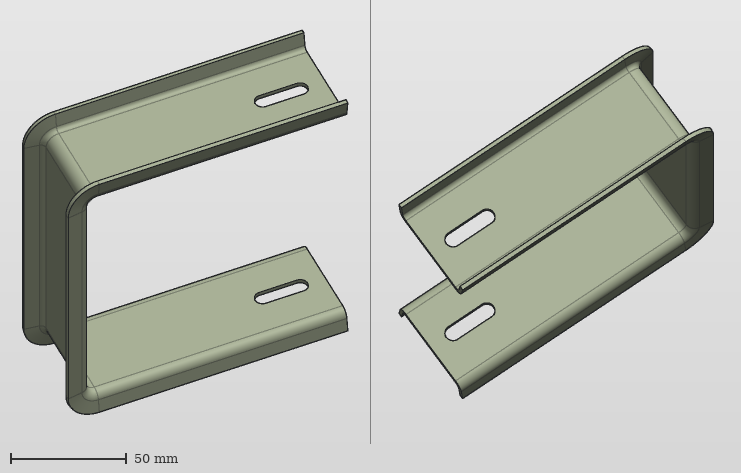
import cadquery as cq
import math

width = 47.9
depth = 133.0
height = 143.0

sheet = 2.0
section_depth = 11.0
flange_lean = math.radians(8)
inner_bend = 2.5
outer_bend = inner_bend + sheet

corner_radius = 15.0
web_corner_radius = corner_radius - section_depth

slot_width = 7.0
slot_length = 24.9
slot_end_margin = 8.3

flange_length = (section_depth - outer_bend + inner_bend * math.sin(flange_lean)) / math.cos(flange_lean)
bend_x = width / 2 - outer_bend * math.cos(flange_lean) - flange_length * math.sin(flange_lean)

open_end_y = depth / 2
web_z = height / 2 - section_depth


def bend_point(radius, angle):
    """Point on the flange bend; angle is measured downward from +X."""
    return (bend_x + radius * math.cos(angle), outer_bend - radius * math.sin(angle))


def along_flange(point):
    """Move a point from the bend to the flange tip."""
    x, z = point
    return (x + flange_length * math.sin(flange_lean), z + flange_length * math.cos(flange_lean))


def channel_section():
    """Closed channel outline at the open end of the upper arm."""
    bend_middle = (flange_lean + math.pi / 2) / 2
    outer_start = bend_point(outer_bend, flange_lean)
    inner_start = bend_point(inner_bend, flange_lean)

    def mirrored(point):
        return (-point[0], point[1])

    return (
        cq.Workplane("XZ", origin=(0, open_end_y, web_z))
        .moveTo(-bend_x, 0)
        .lineTo(bend_x, 0)
        .threePointArc(bend_point(outer_bend, bend_middle), outer_start)
        .lineTo(*along_flange(outer_start))
        .lineTo(*along_flange(inner_start))
        .lineTo(*inner_start)
        .threePointArc(bend_point(inner_bend, bend_middle), (bend_x, sheet))
        .lineTo(-bend_x, sheet)
        .threePointArc(mirrored(bend_point(inner_bend, bend_middle)), mirrored(inner_start))
        .lineTo(*mirrored(along_flange(inner_start)))
        .lineTo(*mirrored(along_flange(outer_start)))
        .lineTo(*mirrored(outer_start))
        .threePointArc(mirrored(bend_point(outer_bend, bend_middle)), (-bend_x, 0))
        .close()
    )


def bracket_path():
    """U-shaped path along the inside face of the web."""
    back_y = -depth / 2 + section_depth
    arm_end_y = back_y + web_corner_radius
    back_end_z = web_z - web_corner_radius
    arc_inset = web_corner_radius * (1 - math.sqrt(0.5))
    return (
        cq.Workplane("YZ")
        .moveTo(open_end_y, web_z)
        .lineTo(arm_end_y, web_z)
        .threePointArc((back_y + arc_inset, web_z - arc_inset), (back_y, back_end_z))
        .lineTo(back_y, -back_end_z)
        .threePointArc((back_y + arc_inset, -web_z + arc_inset), (arm_end_y, -web_z))
        .lineTo(open_end_y, -web_z)
    )


def slot_cutter():
    """Vertical slot that passes through both arms."""
    slot_y = open_end_y - slot_end_margin - slot_length / 2
    return (
        cq.Workplane("XY")
        .center(0, slot_y)
        .slot2D(slot_length, slot_width, 90)
        .extrude(height / 2, both=True)
    )


result = channel_section().sweep(bracket_path()).cut(slot_cutter())